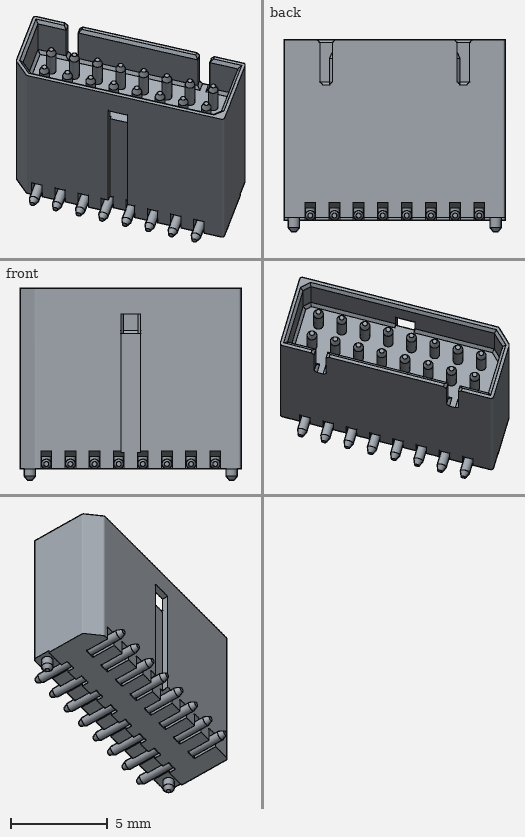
import cadquery as cq
import math

length = 11.45
width = 4.0
height = 9.35
key_chamfer = 0.8
corner_radius = 0.15

cavity_depth = 2.35
wall = 0.33
rim_land = 0.17
ledge_height = 0.16
inner_chamfer = 0.42
floor_z = height - cavity_depth
lead_in = wall - rim_land
floor_inset = wall + ledge_height

slot_foot_width = 0.32
slot_center_x = 3.55

channel_width = 1.03
channel_top = 8.0

contacts_per_row = 8
pitch = 1.25
pin_diameter = 0.5
pin_tip_diameter = 0.25
pin_tip_length = 0.3
pin_top = 8.67
tail_span = 5.65

notch_width = 0.56
notch_outer_height = 0.92
notch_inner_height = 0.65

peg_diameter = 0.6
peg_tip_diameter = 0.23
peg_tip_length = 0.22
peg_length = 0.6
peg_x = 5.22
peg_y = 1.48
relief_length = 1.0
relief_height = 0.14

half_length = length / 2
half_width = width / 2
pin_radius = pin_diameter / 2
row_y = pitch / 2
contact_xs = [pitch * (i - (contacts_per_row - 1) / 2) for i in range(contacts_per_row)]
rows = (-1, 1)


def box(x_min, x_max, y_min, y_max, z_min, z_max):
    size = (x_max - x_min, y_max - y_min, z_max - z_min)
    return cq.Workplane("XY").box(*size, centered=False).translate((x_min, y_min, z_min))


def closed_wire(points, z):
    return cq.Wire.makePolygon([cq.Vector(x, y, z) for x, y in points], close=True)


def cavity_section(z, inset):
    """Wire of the cavity outline at height z, inset from the housing sides."""
    x = half_length - inset
    y = half_width - inset
    left_leg = key_chamfer - (2 - math.sqrt(2)) * inset
    right_leg = inner_chamfer - (2 - math.sqrt(2)) * (inset - rim_land)
    points = [
        (-x, y),
        (-x, -y + left_leg),
        (-x + left_leg, -y),
        (x - right_leg, -y),
        (x, -y + right_leg),
        (x, y),
    ]
    return closed_wire(points, z)


def slot_section(z, inset, center_x):
    """Wire of a slot at height z; the slot widens as the cavity inset shrinks."""
    half = slot_foot_width / 2 + floor_inset - inset
    inner_y = half_width - floor_inset
    left, right = center_x - half, center_x + half
    points = [(left, inner_y), (right, inner_y), (right, half_width), (left, half_width)]
    return closed_wire(points, z)


def cut_cavity_layer(body, low, high):
    """Cut the cavity and its slots between two (height, inset) levels."""
    cavity = cq.Solid.makeLoft([cavity_section(*low), cavity_section(*high)], True)
    body = body.cut(cq.Workplane(cavity))
    for x in (-slot_center_x, slot_center_x):
        slot = cq.Solid.makeLoft([slot_section(*low, x), slot_section(*high, x)], True)
        body = body.cut(cq.Workplane(slot))
    return body


def make_shell():
    outline = [
        (-half_length, half_width),
        (-half_length, -half_width + key_chamfer),
        (-half_length + key_chamfer, -half_width),
        (half_length, -half_width),
        (half_length, half_width),
    ]
    shell = cq.Workplane("XY").polyline(outline).close().extrude(height)
    shell = shell.edges("|Z").fillet(corner_radius)
    levels = [
        (floor_z, floor_inset),
        (floor_z + ledge_height, wall),
        (height - lead_in, wall),
        (height, rim_land),
    ]
    for low, high in zip(levels, levels[1:]):
        shell = cut_cavity_layer(shell, low, high)
    return shell


def channel():
    """Channel up the -Y wall that opens into the cavity above its floor."""
    half = channel_width / 2
    groove = box(-half, half, -half_width, -half_width + wall, 0, channel_top)
    ledge_y = -half_width + floor_inset
    ledge_gap = box(-half, half, -half_width + wall, ledge_y, floor_z, floor_z + ledge_height)
    return groove.union(ledge_gap)


def tail_notch(x, side):
    """Notch from one long side to the contact, its ceiling falling inwards until it meets the post."""
    post_face_y = row_y + pin_radius
    profile = [
        (side * half_width, 0),
        (side * half_width, notch_outer_height),
        (side * post_face_y, notch_inner_height),
        (side * row_y, notch_inner_height),
        (side * row_y, 0),
    ]
    blank = cq.Workplane("YZ").polyline(profile).close().extrude(notch_width)
    return blank.translate((x - notch_width / 2, 0, 0))


def tapered_rod(diameter, tip_diameter, tip_length, rod_length):
    """Round rod along +Z from the origin with a conical tip at its far end."""
    shoulder = rod_length - tip_length
    profile = [
        (0, 0),
        (diameter / 2, 0),
        (diameter / 2, shoulder),
        (tip_diameter / 2, rod_length),
        (0, rod_length),
    ]
    return cq.Workplane("XZ").polyline(profile).close().revolve(360, (0, 0, 0), (0, 1, 0))


def contact(x, side):
    """Right-angle contact: a post into the cavity and a tail out of the side."""
    tip = (pin_diameter, pin_tip_diameter, pin_tip_length)
    post = tapered_rod(*tip, pin_top - pin_radius)
    tail = tapered_rod(*tip, tail_span / 2 - row_y)
    tail = tail.rotate((0, 0, 0), (1, 0, 0), -90 * side)
    elbow = cq.Workplane("XY").sphere(pin_radius)
    return post.union(tail).union(elbow).translate((x, side * row_y, pin_radius))


def peg(x):
    rod = tapered_rod(peg_diameter, peg_tip_diameter, peg_tip_length, peg_length + relief_height)
    return rod.rotate((0, 0, 0), (1, 0, 0), 180).translate((x, peg_y, relief_height))


result = make_shell()

result = result.cut(channel())

relief_y = half_width - relief_length
result = result.cut(box(-half_length, half_length, relief_y, half_width, 0, relief_height))

for contact_x in contact_xs:
    for row in rows:
        result = result.cut(tail_notch(contact_x, row))
        result = result.union(contact(contact_x, row))

for center_x in (-peg_x, peg_x):
    result = result.union(peg(center_x))